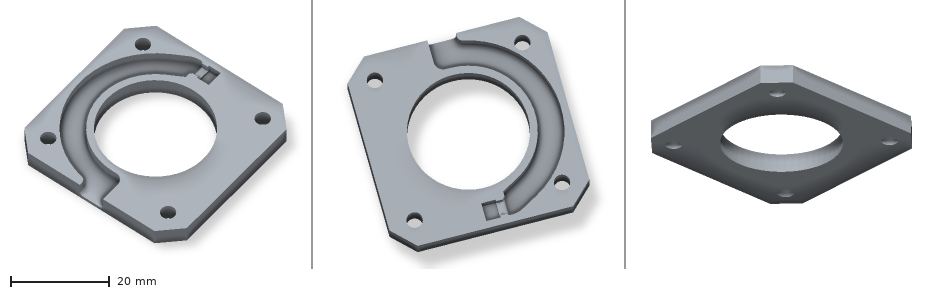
import cadquery as cq
import math

side = 42.0
thickness = 4.0
corner_chamfer = 4.65
bore_diameter = 25.0
hole_diameter = 3.3
hole_spacing = 31.0

outer_radius = 19.5
inner_radius = 14.05
channel_depth = 3.2
floor_fillet = 0.95
exit_half_width = 3.0
outer_exit_fillet = 1.25
inner_exit_fillet = 2.0
end_wall_x = -3.45
end_bend_radius = 5.0
end_slope = math.radians(30)

pocket_length = 3.02
pocket_width = 3.95
pocket_depth = 2.0
neck_width = 3.2
neck_top_y = 19.05
neck_depth = 1.35
neck_flare_radius = 0.38
neck_lip_radius = 0.85


def polar(radius, angle):
    return (radius * math.cos(angle), radius * math.sin(angle))


def make_plate():
    plate = cq.Workplane("XY").box(side, side, thickness, centered=(True, True, False))
    plate = plate.edges("|Z").chamfer(corner_chamfer)
    plate = plate.faces(">Z").workplane().hole(bore_diameter)
    holes = plate.faces(">Z").workplane().rect(hole_spacing, hole_spacing, forConstruction=True)
    return holes.vertices().hole(hole_diameter)


def make_channel():
    leave_angle = math.pi / 2 + end_slope

    outer_corner_x = -exit_half_width - outer_exit_fillet
    outer_corner_reach = outer_radius + outer_exit_fillet
    outer_corner_y = -math.sqrt(outer_corner_reach**2 - outer_corner_x**2)
    outer_exit_angle = math.atan2(outer_corner_y, outer_corner_x)

    inner_corner_x = exit_half_width - inner_exit_fillet
    inner_corner_y = -inner_radius - inner_exit_fillet

    bend_center_y = outer_radius - end_bend_radius
    bend_center_x = -bend_center_y * (1 - math.cos(end_slope)) / math.sin(end_slope)
    bend_start_x, bend_start_y = polar(end_bend_radius, leave_angle)
    bend_mid_x, bend_mid_y = polar(end_bend_radius, math.pi / 2 + end_slope / 2)

    inner_leave = polar(inner_radius, leave_angle)
    inner_end_y = inner_leave[1] + (end_wall_x - inner_leave[0]) * math.tan(end_slope)

    exit_y = -side / 2 - floor_fillet * 2

    outer_round_mid = polar(outer_exit_fillet, (outer_exit_angle + math.pi) / 2)
    outer_tangent = polar(outer_radius, outer_exit_angle)
    inner_round_mid = polar(inner_exit_fillet, math.pi / 4)

    outline = (
        cq.Workplane("XY", origin=(0, 0, thickness - channel_depth))
        .moveTo(-exit_half_width, exit_y)
        .lineTo(-exit_half_width, outer_corner_y)
        .threePointArc(
            (outer_corner_x + outer_round_mid[0], outer_corner_y + outer_round_mid[1]), outer_tangent
        )
        .threePointArc((-outer_radius, 0), polar(outer_radius, leave_angle))
        .lineTo(bend_center_x + bend_start_x, bend_center_y + bend_start_y)
        .threePointArc(
            (bend_center_x + bend_mid_x, bend_center_y + bend_mid_y), (bend_center_x, outer_radius)
        )
        .lineTo(end_wall_x, outer_radius)
        .lineTo(end_wall_x, inner_end_y)
        .lineTo(*inner_leave)
        .threePointArc((-inner_radius, 0), (0, -inner_radius))
        .lineTo(inner_corner_x, -inner_radius)
        .threePointArc(
            (inner_corner_x + inner_round_mid[0], inner_corner_y + inner_round_mid[1]),
            (exit_half_width, inner_corner_y),
        )
        .lineTo(exit_half_width, exit_y)
        .close()
    )
    channel = outline.extrude(channel_depth)

    tolerance = 0.005

    def is_side_wall_edge(edge):
        middle = edge.Center()
        on_end_wall = abs(middle.x - end_wall_x) < tolerance
        on_exit = abs(middle.y - exit_y) < tolerance
        return not (on_end_wall or on_exit)

    return channel.faces("<Z").edges().filter(is_side_wall_edge).fillet(floor_fillet)


def make_pocket():
    pocket_center_y = outer_radius - pocket_width / 2
    pocket = cq.Workplane("XY", origin=(0, pocket_center_y, thickness - pocket_depth))
    pocket = pocket.rect(pocket_length, pocket_width).extrude(pocket_depth)

    sill_z = thickness - neck_depth
    section = (
        cq.Workplane("XZ", origin=(0, outer_radius, 0))
        .moveTo(end_wall_x, thickness)
        .lineTo(end_wall_x, sill_z - neck_lip_radius)
        .radiusArc((end_wall_x + neck_lip_radius, sill_z), neck_lip_radius)
        .lineTo(0, sill_z)
        .lineTo(0, thickness)
        .close()
        .extrude(outer_radius)
    )

    neck_bottom_y = neck_top_y - neck_width
    flare_end_x = end_wall_x + neck_flare_radius
    outline = (
        cq.Workplane("XY")
        .moveTo(0, neck_bottom_y)
        .lineTo(0, neck_top_y)
        .lineTo(flare_end_x, neck_top_y)
        .radiusArc((end_wall_x, neck_top_y + neck_flare_radius), -neck_flare_radius)
        .lineTo(end_wall_x, neck_bottom_y - neck_flare_radius)
        .radiusArc((flare_end_x, neck_bottom_y), -neck_flare_radius)
        .close()
        .extrude(thickness)
    )
    return pocket.union(section.intersect(outline))


result = make_plate().cut(make_channel()).cut(make_pocket())